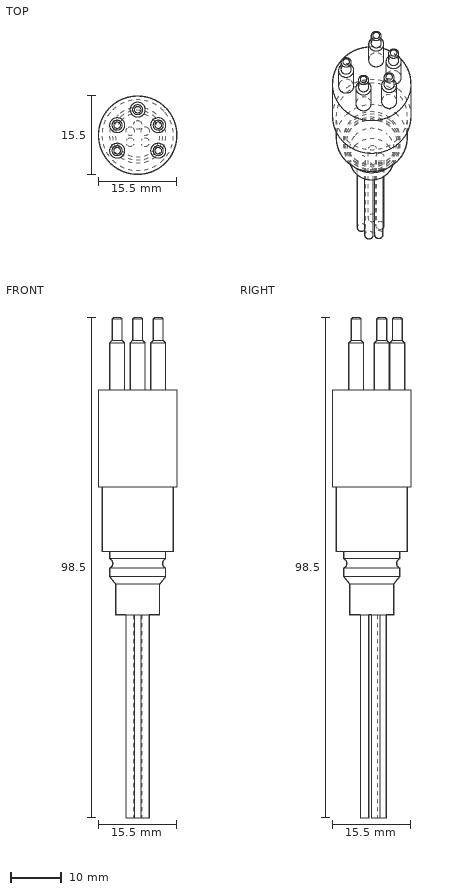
import cadquery as cq

total_length = 98.5

neck_diameter = 8.7
ring_diameter = 11.0
lower_body_diameter = 14.0
upper_body_diameter = 15.5
groove_depth = 0.6

wire_length = 40.0
neck_length = 6.0
taper_length = 1.5
ring_length = 1.7
groove_width = 1.9
collar_length = 1.4
lower_body_length = 12.7
upper_body_length = 19.1

sleeve_diameter = 3.0
sleeve_length = 9.8
tip_diameter = 2.0
tip_chamfer = 0.34
sleeve_chamfer = (sleeve_diameter - tip_diameter) / 2
pin_side_upper_y = 2.0
pin_side_lower_y = -3.1
pin_top_y = 5.0
pin_side_x = 4.0
pin_positions = [
    (0, pin_top_y),
    (pin_side_x, pin_side_upper_y),
    (pin_side_x, pin_side_lower_y),
    (-pin_side_x, pin_side_lower_y),
    (-pin_side_x, pin_side_upper_y),
]

wire_diameter = 1.7
bundle_diameter = 5.7
wire_side_x = 1.5
wire_upper_y = 0.8
wire_lower_y = -1.4
wire_positions = [
    (0, (bundle_diameter - wire_diameter) / 2),
    (wire_side_x, wire_upper_y),
    (wire_side_x, wire_lower_y),
    (-wire_side_x, wire_lower_y),
    (-wire_side_x, wire_upper_y),
]

neck_bottom = wire_length
taper_bottom = neck_bottom + neck_length
ring_bottom = taper_bottom + taper_length
groove_bottom = ring_bottom + ring_length
groove_top = groove_bottom + groove_width
lower_body_bottom = groove_top + collar_length
upper_body_bottom = lower_body_bottom + lower_body_length
body_top = upper_body_bottom + upper_body_length
sleeve_top = body_top + sleeve_length


def make_body():
    """Revolve the stepped body, with a rounded groove above the ring."""
    neck_radius = neck_diameter / 2
    ring_radius = ring_diameter / 2
    lower_radius = lower_body_diameter / 2
    upper_radius = upper_body_diameter / 2
    groove_middle = (ring_radius - groove_depth, (groove_bottom + groove_top) / 2)
    profile = (
        cq.Workplane("XZ")
        .moveTo(0, neck_bottom)
        .lineTo(neck_radius, neck_bottom)
        .lineTo(neck_radius, taper_bottom)
        .lineTo(ring_radius, ring_bottom)
        .lineTo(ring_radius, groove_bottom)
        .threePointArc(groove_middle, (ring_radius, groove_top))
        .lineTo(ring_radius, lower_body_bottom)
        .lineTo(lower_radius, lower_body_bottom)
        .lineTo(lower_radius, upper_body_bottom)
        .lineTo(upper_radius, upper_body_bottom)
        .lineTo(upper_radius, body_top)
        .lineTo(0, body_top)
        .close()
    )
    return profile.revolve(360, (0, 0, 0), (0, 1, 0))


def make_rods(positions, diameter, bottom, top):
    """Vertical round rods of one diameter at the given XY positions."""
    base = cq.Workplane("XY").workplane(offset=bottom)
    return base.pushPoints(positions).circle(diameter / 2).extrude(top - bottom)


def chamfer_top(rods, size):
    """Chamfer the rim at the upper end of each rod."""
    return rods.faces(">Z").edges().chamfer(size)


body = make_body()
wires = make_rods(wire_positions, wire_diameter, 0, neck_bottom)
sleeves = make_rods(pin_positions, sleeve_diameter, body_top, sleeve_top)
sleeves = chamfer_top(sleeves, sleeve_chamfer)
tips = make_rods(pin_positions, tip_diameter, sleeve_top, total_length)
tips = chamfer_top(tips, tip_chamfer)

result = body.union(wires).union(sleeves).union(tips)